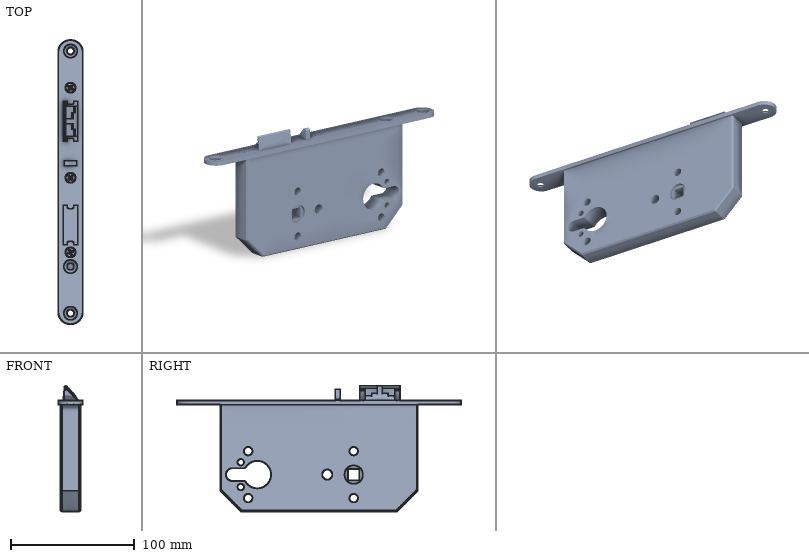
import cadquery as cq
import math


PLATE_LENGTH = 230.0
PLATE_WIDTH = 20.0
PLATE_THICKNESS = 3.5
FIXING_HOLE_Y = 106.0
CYLINDER_SCREW_Y = -68.3
FIXING_HOLE_DIAMETER = 5.5
FIXING_SINK_DIAMETER = 10.8
FIXING_SINK_ANGLE = 90

SCREW_HEADS = [(76.4, 55), (3.5, 45), (-56.8, 20)]
HEAD_DIAMETER = 8.3
HEAD_GROOVE_WIDTH = 0.35
HEAD_GROOVE_DEPTH = 0.2
CROSS_LENGTH = 4.4
CROSS_WIDTH = 1.2
CROSS_DEPTH = 1.8
CROSS_TAPER = 15

CASE_LENGTH = 160.0
CASE_WIDTH = 16.3
CASE_BOTTOM = -90.0
CASE_CORNER = 17.0
CASE_BEVEL_WIDTH = 1.4
CASE_BEVEL_INSET = 1.04

AXIS_DEPTH = 60.0
LEVER_HOLE_Y = 6.7
LEVER_HOLE_DIAMETER = 8.0
ROSE_HOLE_DIAMETER = 6.7
ROSE_HOLE_SPACING = 38.0
CYLINDER_ROSE_Y = -57.3
PIN_HOLE_Y = -63.2
PIN_HOLE_DIAMETER = 5.0
PIN_HOLE_SPACING = 20.0
KEYHOLE_Y = -50.0
KEYHOLE_RADIUS = 11.0
KEYHOLE_SLOT_RADIUS = 5.0
KEYHOLE_SLOT_END_Y = -75.2
KEYHOLE_BLEND = 2.0

FOLLOWER_Y = 28.0
FOLLOWER_DIAMETER = 15.0
FOLLOWER_RECESS = 2.0
SQUARE_HOLE = 9.0

BOLT_WIDTH = 12.0
NOTCH_WIDTH = 5.3
NOTCH_DEPTH = 2.8
NOTCH_BLEND = 1.5

DEADBOLT_Y = -34.7
DEADBOLT_LENGTH = 32.0

LATCH_Y = 49.2
LATCH_LENGTH = 32.7
LATCH_HEIGHT = 12.0
LATCH_BACK_X = -6.0
LATCH_CREST_BACK_X = -4.8
LATCH_CREST_X = -3.7
LATCH_CREST_DROP = 0.7
LATCH_KNEE_X = 3.7
LATCH_KNEE_Z = 4.0
LATCH_FRONT_X = 6.0
LATCH_END_SETBACK = 4.4
LATCH_END_LIP = 1.0
LATCH_END_RIDGE_X = -2.5
LATCH_END_LIP_Z = 7.8
RAMP_RECESS = 1.4
RIB_WIDTH = 4.1
PAD_LENGTH = 4.5
PAD_BACK_X = 2.0

TRIGGER_Y = 15.2
TRIGGER_LENGTH = 4.1
TRIGGER_WIDTH = 10.4
TRIGGER_HEIGHT = 12.2
TRIGGER_RAMP_END_Z = 1.0
TRIGGER_CORNER = 1.95

PLATE_BOTTOM = -PLATE_THICKNESS
AXIS_Z = -AXIS_DEPTH
CASE_SIDE_X = -CASE_WIDTH / 2
RAMP_SLOPE = (LATCH_HEIGHT - LATCH_KNEE_Z) / (LATCH_KNEE_X - LATCH_CREST_X)


def on_ramp(x):
    """Point (X, Z) at x on the latch's long ramp."""
    return (x, LATCH_HEIGHT - RAMP_SLOPE * (x - LATCH_CREST_X))


def below_ramp(x):
    """Point (X, Z) on the sunk ramp, square below the long ramp's point at x."""
    angle = math.atan(RAMP_SLOPE)
    top_x, top_z = on_ramp(x)
    return (top_x - RAMP_RECESS * math.sin(angle), top_z - RAMP_RECESS * math.cos(angle))


def bar_along_y(outline, y, length):
    """Extrude an outline of (X, Z) points, centred on y."""
    return cq.Workplane("XZ", origin=(0, y, 0)).polyline(outline).close().extrude(length / 2, both=True)


def bolt_base(y, length):
    """Notched bolt section that fills the faceplate's opening, flush with its top face."""
    block = cq.Workplane("XY", origin=(0, y, PLATE_BOTTOM)).rect(BOLT_WIDTH, length).extrude(PLATE_THICKNESS)
    notches = (
        cq.Workplane("XY", origin=(0, y, PLATE_BOTTOM))
        .pushPoints([(0, length / 2), (0, -length / 2)])
        .rect(NOTCH_WIDTH, 2 * NOTCH_DEPTH)
        .extrude(PLATE_THICKNESS)
        .edges("|Z")
        .fillet(NOTCH_BLEND)
    )
    return block.cut(notches)


def make_latch():
    outline = [
        (LATCH_BACK_X, 0),
        (LATCH_CREST_BACK_X, LATCH_HEIGHT - LATCH_CREST_DROP),
        (LATCH_CREST_X, LATCH_HEIGHT),
        (LATCH_KNEE_X, LATCH_KNEE_Z),
        (LATCH_FRONT_X, 0),
    ]
    nose = bar_along_y(outline, LATCH_Y, LATCH_LENGTH)

    sunk_start = (LATCH_CREST_X, LATCH_HEIGHT - RAMP_RECESS / math.cos(math.atan(RAMP_SLOPE)))

    back_lean = (LATCH_CREST_BACK_X - LATCH_BACK_X) / (LATCH_HEIGHT - LATCH_CREST_DROP)
    lip_top_x = LATCH_BACK_X + LATCH_END_LIP + back_lean * LATCH_END_LIP_Z
    end_cut = [
        (LATCH_BACK_X + LATCH_END_LIP, 0),
        (lip_top_x, LATCH_END_LIP_Z),
        sunk_start,
        (LATCH_END_RIDGE_X, LATCH_END_LIP_Z),
        (LATCH_END_RIDGE_X, LATCH_HEIGHT),
        (LATCH_FRONT_X, LATCH_HEIGHT),
        (LATCH_FRONT_X, 0),
    ]
    for side in (-1, 1):
        end_y = LATCH_Y + side * LATCH_LENGTH / 2
        nose = nose.cut(bar_along_y(end_cut, end_y, 2 * LATCH_END_SETBACK))

    sunk_ramp = [
        sunk_start,
        (LATCH_CREST_X, LATCH_HEIGHT),
        (LATCH_KNEE_X, LATCH_HEIGHT),
        (LATCH_KNEE_X, LATCH_KNEE_Z),
        below_ramp(LATCH_KNEE_X),
    ]
    pad = [
        below_ramp(PAD_BACK_X),
        on_ramp(PAD_BACK_X),
        on_ramp(LATCH_KNEE_X),
        below_ramp(LATCH_KNEE_X),
    ]
    rib = bar_along_y(outline, LATCH_Y, RIB_WIDTH)
    pads = bar_along_y(pad, LATCH_Y, RIB_WIDTH + 2 * PAD_LENGTH)
    nose = nose.cut(bar_along_y(sunk_ramp, LATCH_Y, LATCH_LENGTH)).union(rib).union(pads)

    return bolt_base(LATCH_Y, LATCH_LENGTH).union(nose)


def make_trigger():
    half = TRIGGER_WIDTH / 2
    outline = [
        (-half, PLATE_BOTTOM),
        (-half, TRIGGER_HEIGHT),
        (half, TRIGGER_RAMP_END_Z),
        (half, PLATE_BOTTOM),
    ]
    return bar_along_y(outline, TRIGGER_Y, TRIGGER_LENGTH).edges("|Y and >Z").fillet(TRIGGER_CORNER)


def screw_head_marks(y, turn):
    """Ring groove and tapered cross recess of one screw head."""
    face = cq.Workplane("XY", origin=(0, y, 0))
    radius = HEAD_DIAMETER / 2
    marks = face.circle(radius).circle(radius - HEAD_GROOVE_WIDTH).extrude(-HEAD_GROOVE_DEPTH)
    for angle in (turn, turn + 90):
        arm = face.transformed(rotate=(0, 0, angle)).rect(CROSS_LENGTH, CROSS_WIDTH)
        marks = marks.union(arm.extrude(-CROSS_DEPTH, taper=CROSS_TAPER))
    return marks


def make_faceplate():
    plate = (
        cq.Workplane("XY")
        .slot2D(PLATE_LENGTH, PLATE_WIDTH, 90)
        .extrude(-PLATE_THICKNESS)
        .faces(">Z")
        .workplane(origin=(0, 0, 0))
        .pushPoints([(0, FIXING_HOLE_Y), (0, CYLINDER_SCREW_Y), (0, -FIXING_HOLE_Y)])
        .cskHole(FIXING_HOLE_DIAMETER, FIXING_SINK_DIAMETER, FIXING_SINK_ANGLE)
    )
    for y, turn in SCREW_HEADS:
        plate = plate.cut(screw_head_marks(y, turn))
    trigger_opening = (
        cq.Workplane("XY", origin=(0, TRIGGER_Y, PLATE_BOTTOM))
        .rect(TRIGGER_WIDTH, TRIGGER_LENGTH)
        .extrude(PLATE_THICKNESS)
    )
    plate = plate.cut(trigger_opening)
    plate = plate.cut(bolt_base(LATCH_Y, LATCH_LENGTH))
    return plate.cut(bolt_base(DEADBOLT_Y, DEADBOLT_LENGTH))


def through_case(places, diameter):
    """Round bars across the full width of the case at (Y, Z) places."""
    return cq.Workplane("YZ").pushPoints(places).circle(diameter / 2).extrude(CASE_WIDTH / 2, both=True)


def make_keyhole():
    slot_end = KEYHOLE_SLOT_END_Y + KEYHOLE_SLOT_RADIUS
    barrel = through_case([(KEYHOLE_Y, AXIS_Z)], 2 * KEYHOLE_RADIUS)
    slot = (
        cq.Workplane("YZ")
        .center((KEYHOLE_Y + slot_end) / 2, AXIS_Z)
        .slot2D(KEYHOLE_Y - slot_end + 2 * KEYHOLE_SLOT_RADIUS, 2 * KEYHOLE_SLOT_RADIUS)
        .extrude(CASE_WIDTH / 2, both=True)
    )
    corner_y = KEYHOLE_Y - math.sqrt(KEYHOLE_RADIUS**2 - KEYHOLE_SLOT_RADIUS**2)
    reach = KEYHOLE_BLEND / 2
    inner_corners = cq.selectors.BoxSelector(
        (-CASE_WIDTH, corner_y - reach, AXIS_Z - KEYHOLE_RADIUS),
        (CASE_WIDTH, corner_y + reach, AXIS_Z + KEYHOLE_RADIUS),
    )
    return barrel.union(slot).edges("|X").edges(inner_corners).fillet(KEYHOLE_BLEND)


def make_case():
    half = CASE_LENGTH / 2
    outline = [
        (-half, 0),
        (-half, CASE_BOTTOM + CASE_CORNER),
        (-half + CASE_CORNER, CASE_BOTTOM),
        (half - CASE_CORNER, CASE_BOTTOM),
        (half, CASE_BOTTOM + CASE_CORNER),
        (half, 0),
    ]
    core_half = CASE_WIDTH / 2 - CASE_BEVEL_WIDTH
    bevel_angle = math.degrees(math.atan(CASE_BEVEL_INSET / CASE_BEVEL_WIDTH))
    case = cq.Workplane("YZ").polyline(outline).close().extrude(core_half, both=True)
    bevelled_side = (
        cq.Workplane("YZ", origin=(core_half, 0, 0))
        .polyline(outline)
        .close()
        .extrude(CASE_BEVEL_WIDTH, taper=bevel_angle)
    )
    case = case.union(bevelled_side).union(bevelled_side.mirror("YZ"))
    above_plate_bottom = (
        cq.Workplane("XY", origin=(0, 0, PLATE_BOTTOM)).rect(CASE_WIDTH, CASE_LENGTH).extrude(PLATE_THICKNESS)
    )
    case = case.cut(above_plate_bottom)

    rose_z = [AXIS_Z - ROSE_HOLE_SPACING / 2, AXIS_Z + ROSE_HOLE_SPACING / 2]
    pin_z = [AXIS_Z - PIN_HOLE_SPACING / 2, AXIS_Z + PIN_HOLE_SPACING / 2]
    rose_places = [(y, z) for y in (FOLLOWER_Y, CYLINDER_ROSE_Y) for z in rose_z]
    case = case.cut(through_case(rose_places, ROSE_HOLE_DIAMETER))
    case = case.cut(through_case([(PIN_HOLE_Y, z) for z in pin_z], PIN_HOLE_DIAMETER))
    case = case.cut(through_case([(LEVER_HOLE_Y, AXIS_Z)], LEVER_HOLE_DIAMETER))
    case = case.cut(through_case([(FOLLOWER_Y, AXIS_Z)], FOLLOWER_DIAMETER))
    return case.cut(make_keyhole())


def make_follower():
    return (
        cq.Workplane("YZ", origin=(CASE_SIDE_X + FOLLOWER_RECESS, FOLLOWER_Y, AXIS_Z))
        .circle(FOLLOWER_DIAMETER / 2)
        .rect(SQUARE_HOLE, SQUARE_HOLE)
        .extrude(CASE_WIDTH - 2 * FOLLOWER_RECESS)
    )


faceplate = make_faceplate()
case = make_case()
follower = make_follower()
latch = make_latch()
trigger = make_trigger()
deadbolt = bolt_base(DEADBOLT_Y, DEADBOLT_LENGTH)

bodies = [faceplate, case, follower, latch, trigger, deadbolt]
result = cq.Compound.makeCompound([body.solids().val() for body in bodies])